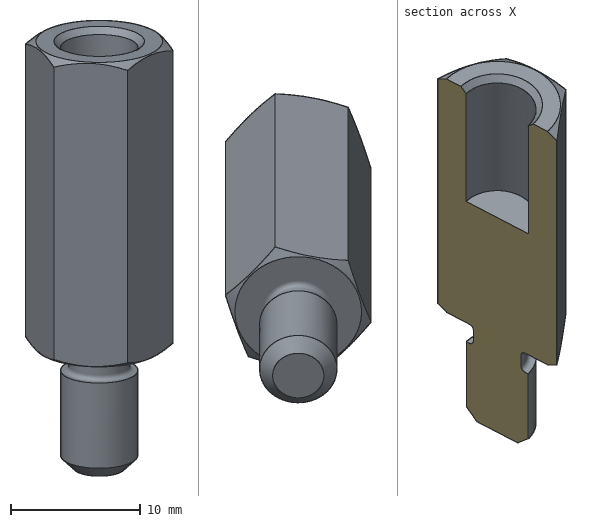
import cadquery as cq
import math

total_length = 35.0
hex_length = total_length * 5 / 7
stud_length = total_length - hex_length
across_flats = total_length * 2 / 7
across_corners = across_flats / math.cos(math.pi / 6)

face_diameter = across_flats * 0.98
corner_turn = 30
chamfer_angle = math.radians(30)

thread_diameter = total_length * 6 / 35
tip_chamfer = 1.0
neck_diameter = 4.7
neck_length = 2.0
neck_fillet = 0.4

socket_depth = 12.0
socket_mouth_diameter = 7.0


def make_hexagon():
    """Hexagonal body with both ends turned to a shallow cone."""
    prism = (
        cq.Workplane("XY")
        .polygon(6, across_corners)
        .extrude(hex_length)
        .rotate((0, 0, 0), (0, 0, 1), corner_turn)
    )
    face_radius = face_diameter / 2
    corner_radius = across_corners / 2
    corner_drop = (corner_radius - face_radius) * math.tan(chamfer_angle)
    turned_envelope = (
        cq.Workplane("XZ")
        .moveTo(0, 0)
        .lineTo(face_radius, 0)
        .lineTo(corner_radius, corner_drop)
        .lineTo(corner_radius, hex_length - corner_drop)
        .lineTo(face_radius, hex_length)
        .lineTo(0, hex_length)
        .close()
        .revolve(360, (0, 0, 0), (0, 1, 0))
    )
    return prism.intersect(turned_envelope)


def make_stud():
    """Stud with a chamfered tip and a relief neck under the hexagon."""
    thread_radius = thread_diameter / 2
    neck_radius = neck_diameter / 2
    return (
        cq.Workplane("XZ")
        .moveTo(0, 0)
        .lineTo(neck_radius + neck_fillet, 0)
        .radiusArc((neck_radius, -neck_fillet), -neck_fillet)
        .lineTo(neck_radius, -neck_length + neck_fillet)
        .radiusArc((neck_radius + neck_fillet, -neck_length), -neck_fillet)
        .lineTo(thread_radius, -neck_length)
        .lineTo(thread_radius, -stud_length + tip_chamfer)
        .lineTo(thread_radius - tip_chamfer, -stud_length)
        .lineTo(0, -stud_length)
        .close()
        .revolve(360, (0, 0, 0), (0, 1, 0))
    )


def make_socket():
    """Flat-bottomed bore with a 45 degree countersunk mouth."""
    bore_radius = thread_diameter / 2
    mouth_radius = socket_mouth_diameter / 2
    mouth_depth = mouth_radius - bore_radius
    return (
        cq.Workplane("XZ")
        .moveTo(0, hex_length)
        .lineTo(mouth_radius, hex_length)
        .lineTo(bore_radius, hex_length - mouth_depth)
        .lineTo(bore_radius, hex_length - socket_depth)
        .lineTo(0, hex_length - socket_depth)
        .close()
        .revolve(360, (0, 0, 0), (0, 1, 0))
    )


result = make_hexagon().union(make_stud()).cut(make_socket())